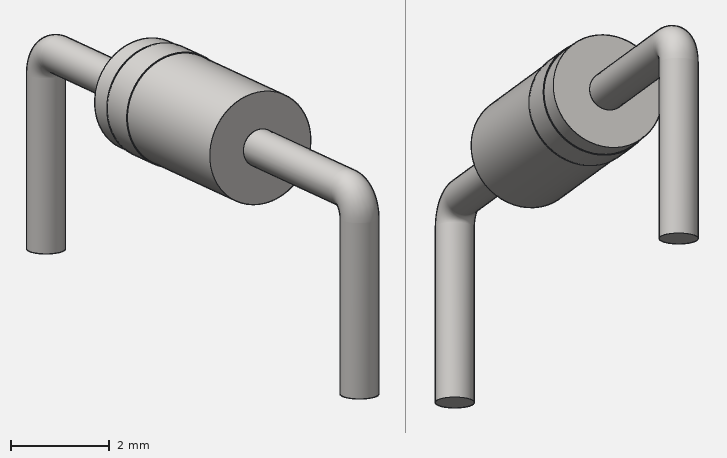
import cadquery as cq

overall_length = 13.49
wire_diameter = 0.8
bend_radius = 0.51
body_length = 4.67
body_diameter = 2.37
band_diameter = 2.41
band_offset = 0.53
band_width = 0.81
overall_height = 5.42

lead_x = (overall_length - wire_diameter) / 2
lead_bottom = band_diameter / 2 - overall_height


def cylinder_along_x(start_x, length, diameter):
    """Solid cylinder on the body axis, starting at start_x."""
    return cq.Workplane("YZ", origin=(start_x, 0, 0)).circle(diameter / 2).extrude(length)


def bent_wire():
    """One round wire running up, through the body and down again."""
    path = (
        cq.Workplane("XZ")
        .moveTo(-lead_x, lead_bottom)
        .lineTo(-lead_x, -bend_radius)
        .radiusArc((-lead_x + bend_radius, 0), bend_radius)
        .lineTo(lead_x - bend_radius, 0)
        .radiusArc((lead_x, -bend_radius), bend_radius)
        .lineTo(lead_x, lead_bottom)
    )
    profile = cq.Workplane("XY", origin=(-lead_x, 0, lead_bottom)).circle(wire_diameter / 2)
    return profile.sweep(path)


body_start = -body_length / 2
body = cylinder_along_x(body_start, body_length, body_diameter)
polarity_band = cylinder_along_x(body_start + band_offset, band_width, band_diameter)

result = body.union(polarity_band).union(bent_wire())